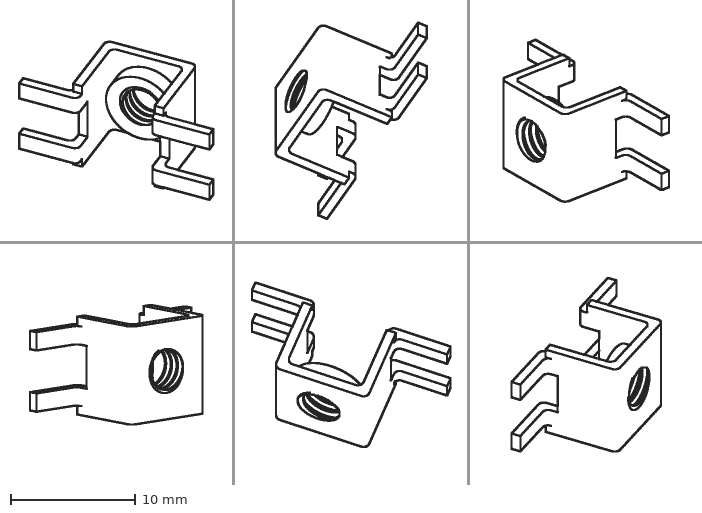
import cadquery as cq
import math

sheet = 0.8
channel_width = 8.0
channel_height = 8.0
wall_end = 6.5
bend_radius = 0.5

foot_span = 16.8
foot_height = 1.5
foot_gap = 3.5
notch_floor = 5.4

boss_diameter = 6.0
boss_length = 1.5
thread_pitch = 0.7
thread_major_radius = 2.0
thread_form_height = thread_pitch * math.sqrt(3) / 2
thread_minor_radius = thread_major_radius - thread_form_height * 5 / 8
thread_root_half_width = thread_pitch / 16
thread_flank_angle = math.radians(30)
thread_overlap = 0.05
thread_runout_turns = 2
thread_start_angle = 90.0

half_width = channel_width / 2
inner_half_width = half_width - sheet
overall_depth = wall_end + sheet
boss_face = sheet + boss_length


def block(x_min, x_max, y_min, y_max, z_min, z_max):
    """Axis-aligned block between the given limits."""
    size = (x_max - x_min, y_max - y_min, z_max - z_min)
    return cq.Workplane("XY").box(*size, centered=False).translate((x_min, y_min, z_min))


def make_channel():
    """U-shaped channel with rounded bends and a notch in the end of each side wall."""
    outer = block(-half_width, half_width, -wall_end, 0, -channel_height / 2, channel_height / 2)
    outer = outer.edges("|Z and >Y").fillet(bend_radius)
    inner = block(-inner_half_width, inner_half_width, -wall_end, -sheet, -channel_height / 2, channel_height / 2)
    inner = inner.edges("|Z and >Y").fillet(bend_radius)
    notch = block(-half_width, half_width, -wall_end, -notch_floor, -foot_gap / 2, foot_gap / 2)
    return outer.cut(inner).cut(notch)


def make_foot(side, z_min):
    """One foot running outwards in X; side is +1 or -1, z_min its lower face."""
    wall_inner = side * inner_half_width
    wall_outer = side * half_width
    foot = (
        cq.Workplane("XY", origin=(0, 0, z_min))
        .moveTo(wall_inner, -notch_floor)
        .lineTo(wall_inner, -overall_depth)
        .lineTo(side * foot_span / 2, -overall_depth)
        .lineTo(side * foot_span / 2, -wall_end)
        .lineTo(wall_outer, -wall_end)
        .lineTo(wall_outer, -notch_floor)
        .close()
        .extrude(foot_height)
    )
    middle = z_min + foot_height / 2
    for corner in ((wall_inner, -overall_depth, middle), (wall_outer, -wall_end, middle)):
        foot = foot.edges("|Z").edges(cq.NearestToPointSelector(corner)).fillet(bend_radius)
    return foot


def make_boss():
    """Round boss standing on the inner face of the web."""
    return cq.Workplane("XZ", origin=(0, -sheet, 0)).circle(boss_diameter / 2).extrude(boss_length)


def make_bore():
    """Plain bore at the thread's minor diameter, through web and boss."""
    return cq.Workplane("XZ").circle(thread_minor_radius).extrude(boss_face)


def make_thread_groove():
    """Right-hand helical groove, deepest at thread_start_angle where it meets the boss face.

    It starts one pitch in front of the boss face and runs out behind the web.
    """
    turns = math.ceil(boss_face / thread_pitch) + thread_runout_turns
    mouth_radius = thread_minor_radius - thread_overlap
    mouth_depth = thread_major_radius - mouth_radius
    mouth_half_width = thread_root_half_width + mouth_depth * math.tan(thread_flank_angle)
    path = cq.Wire.makeHelix(thread_pitch, turns * thread_pitch, thread_minor_radius)
    groove = (
        cq.Workplane("XZ")
        .moveTo(mouth_radius, -mouth_half_width)
        .lineTo(thread_major_radius, -thread_root_half_width)
        .lineTo(thread_major_radius, thread_root_half_width)
        .lineTo(mouth_radius, mouth_half_width)
        .close()
        .sweep(cq.Workplane(obj=path), isFrenet=True)
    )
    groove = groove.rotate((0, 0, 0), (1, 0, 0), -90)
    groove = groove.rotate((0, 0, 0), (0, 1, 0), -thread_start_angle)
    return groove.translate((0, -boss_face - thread_pitch, 0))


result = make_channel().union(make_boss()).cut(make_thread_groove()).cut(make_bore())
for foot_side in (-1, 1):
    for foot_bottom in (foot_gap / 2, -foot_gap / 2 - foot_height):
        result = result.union(make_foot(foot_side, foot_bottom))